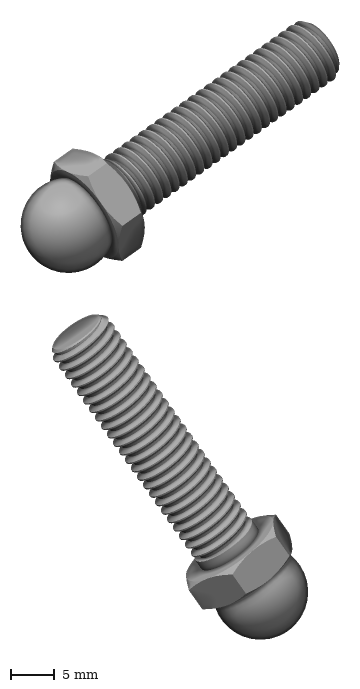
import cadquery as cq
import math

overall_length = 43.9
ball_radius = 5.5
tip_height = overall_length - ball_radius

hex_across_flats = 12.0
hex_across_corners = hex_across_flats / math.cos(math.radians(30))
hex_bottom = 2.4
hex_thickness = 4.0
hex_top = hex_bottom + hex_thickness
hex_chamfer_angle = 32.0

shank_radius = 4.0
shoulder_length = 1.27
shoulder_top = hex_top + shoulder_length
tip_chamfer = 0.8

envelope_clearance = 0.45

pitch = 1.25
thread_depth = 0.65
crest_width = 0.18
flank_half_angle = 30.0
core_radius = shank_radius - thread_depth
ridge_start = 5.85
ridge_sink = 0.05
ridge_length = math.ceil((tip_height - ridge_start) / pitch + 1) * pitch


def make_hexagon():
    """Hexagon with corners on the local Y axis, its corners turned off by cones at both ends."""
    blank = (
        cq.Workplane("XY", origin=(0, 0, hex_bottom))
        .polygon(6, hex_across_corners)
        .extrude(hex_thickness)
        .rotate((0, 0, 0), (0, 0, 1), 30)
    )
    face_radius = hex_across_flats / 2
    envelope_radius = hex_across_corners / 2 + envelope_clearance
    cone_height = (envelope_radius - face_radius) * math.tan(math.radians(hex_chamfer_angle))
    envelope = (
        cq.Workplane("XZ")
        .moveTo(0, hex_bottom)
        .lineTo(face_radius, hex_bottom)
        .lineTo(envelope_radius, hex_bottom + cone_height)
        .lineTo(envelope_radius, hex_top - cone_height)
        .lineTo(face_radius, hex_top)
        .lineTo(0, hex_top)
        .close()
        .revolve(360, (0, 0), (0, 1))
    )
    return blank.intersect(envelope)


def make_thread_ridge():
    """Right-handed helical ridge with a flat crest, sunk into the core and overrunning both thread ends."""
    base_radius = core_radius - ridge_sink
    flank_slope = math.tan(math.radians(flank_half_angle))
    crest_half_width = crest_width / 2
    base_half_width = crest_half_width + (shank_radius - base_radius) * flank_slope
    profile = [
        (base_radius, ridge_start - base_half_width),
        (shank_radius, ridge_start - crest_half_width),
        (shank_radius, ridge_start + crest_half_width),
        (base_radius, ridge_start + base_half_width),
    ]
    helices = [
        cq.Wire.makeHelix(pitch, ridge_length, radius, center=cq.Vector(0, 0, height))
        for radius, height in profile
    ]
    following_helices = helices[1:] + helices[:1]
    faces = [
        cq.Face.makeRuledSurface(helix, following)
        for helix, following in zip(helices, following_helices)
    ]
    for rise in (0, ridge_length):
        corners = [cq.Vector(radius, 0, height + rise) for radius, height in profile]
        faces.append(cq.Face.makeFromWires(cq.Wire.makePolygon(corners, close=True)))
    return cq.Solid.makeSolid(cq.Shell.makeShell(faces))


def make_threaded_shank():
    """Threaded rod standing on the shoulder, trimmed to length with a chamfered free end."""
    core = (
        cq.Workplane("XY", origin=(0, 0, ridge_start - pitch))
        .circle(core_radius)
        .extrude(ridge_length + 2 * pitch)
    )
    envelope = (
        cq.Workplane("XY", origin=(0, 0, shoulder_top))
        .circle(shank_radius + envelope_clearance)
        .extrude(tip_height - shoulder_top)
        .faces(">Z")
        .chamfer(tip_chamfer + envelope_clearance)
    )
    return core.union(make_thread_ridge(), clean=False).intersect(envelope, clean=False)


ball = cq.Workplane("XY").sphere(ball_radius)
shoulder = cq.Workplane("XY", origin=(0, 0, hex_top)).circle(shank_radius).extrude(shoulder_length)
screw = ball.union(make_hexagon()).union(shoulder).union(make_threaded_shank(), clean=False)

result = screw.rotate((0, 0, 0), (1, 0, 0), -90)